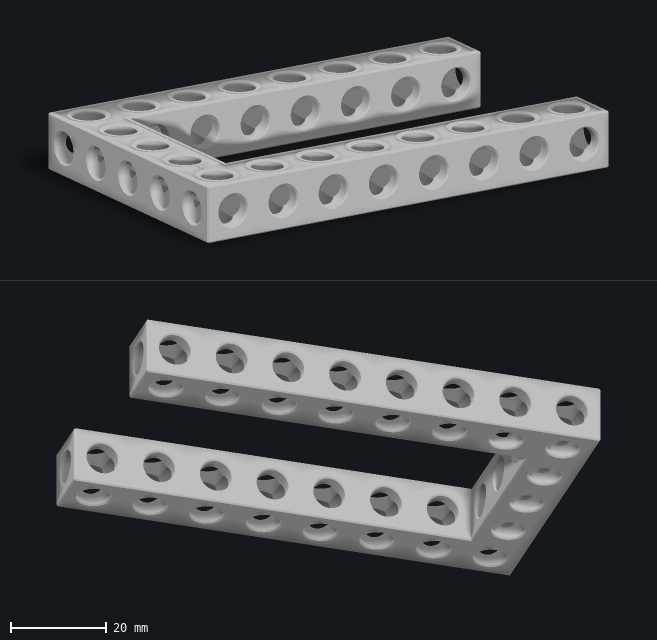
import cadquery as cq

pitch = 12.5
holes_across = 5
holes_along = 8
edge_chamfer = 0.3
bore_diameter = 7.0
mouth_chamfer = 0.3

recess_depth = 0.2
rim_width = 1.1
collar_diameter = 9.2
link_width = 0.3

width = holes_across * pitch
length = holes_along * pitch
half_pitch = pitch / 2
column_xs = [half_pitch + i * pitch for i in range(holes_across)]
row_ys = [half_pitch + j * pitch for j in range(holes_along)]
leg_xs = [column_xs[0], column_xs[-1]]
cross_bar_points = [(x, half_pitch) for x in column_xs]
leg_points = [(x, y) for x in leg_xs for y in row_ys[1:]]
bore_points = cross_bar_points + leg_points

X_AXIS = cq.Vector(1, 0, 0)
Y_AXIS = cq.Vector(0, 1, 0)
Z_AXIS = cq.Vector(0, 0, 1)


def u_prism(inset, height):
    """U-shaped plate whose outline is shrunk by the inset on every side."""
    inner = pitch - inset
    outline = [
        (inset, inset),
        (width - inset, inset),
        (width - inset, length - inset),
        (width - inner, length - inset),
        (width - inner, inner),
        (inner, inner),
        (inner, length - inset),
        (inset, length - inset),
    ]
    return cq.Workplane("XY").polyline(outline).close().extrude(height)


def chamfered_frame():
    """Plain frame with every edge chamfered except the two inner vertical corners."""
    outer_corners = "|Z and (<X or >X or >Y)"
    return u_prism(0, pitch).edges(f"({outer_corners}) or |X or |Y").chamfer(edge_chamfer)


def top_recess():
    """Material removed from the top face around the collars and the link."""
    collars = cq.Workplane("XY").pushPoints(bore_points)
    collars = collars.circle(collar_diameter / 2).extrude(recess_depth)
    link_center_x = (column_xs[-2] + column_xs[-1]) / 2
    link = cq.Workplane("XY").center(link_center_x, half_pitch)
    link = link.rect(pitch, link_width).extrude(recess_depth)
    recess = u_prism(rim_width, recess_depth).cut(collars).cut(link)
    return recess.translate((0, 0, pitch - recess_depth))


def bore(start, direction, span):
    """Solids for a bore running from start, with a chamfer at both mouths."""
    radius = bore_diameter / 2
    mouth_radius = radius + mouth_chamfer
    far_cone_start = start + direction * (span - mouth_chamfer)
    return [
        cq.Solid.makeCylinder(radius, span, start, direction),
        cq.Solid.makeCone(mouth_radius, radius, mouth_chamfer, start, direction),
        cq.Solid.makeCone(radius, mouth_radius, mouth_chamfer, far_cone_start, direction),
    ]


def all_bores():
    """Bores along Z, Y and X, crossing at the centre of every pitch cell."""
    bores = []
    for x, y in bore_points:
        bores += bore(cq.Vector(x, y, 0), Z_AXIS, pitch)
    for x in column_xs:
        span = length if x in leg_xs else pitch
        bores += bore(cq.Vector(x, 0, half_pitch), Y_AXIS, span)
    bores += bore(cq.Vector(0, half_pitch, half_pitch), X_AXIS, width)
    for x, y in leg_points:
        bores += bore(cq.Vector(x - half_pitch, y, half_pitch), X_AXIS, pitch)
    return bores


frame = chamfered_frame().cut(top_recess())
result = cq.Workplane(frame.val().cut(*all_bores()))